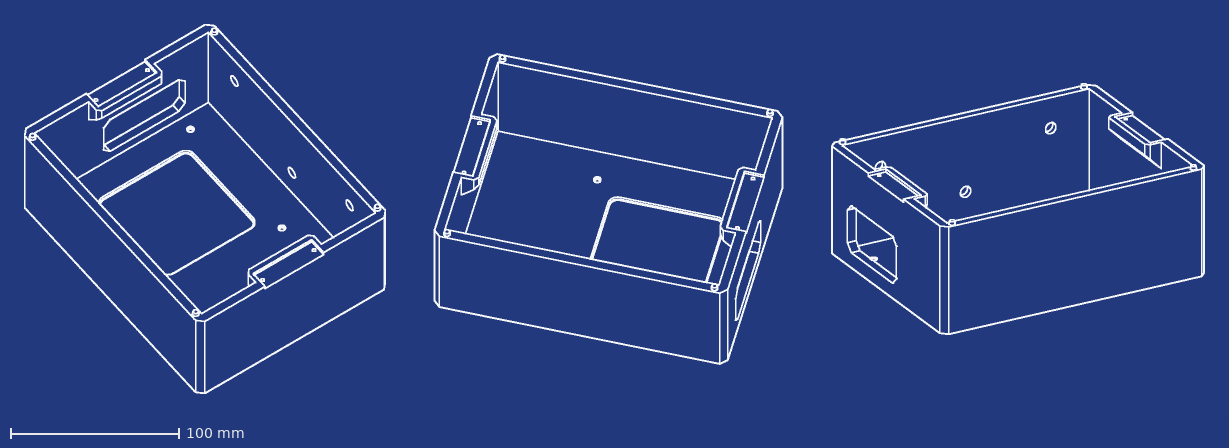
import cadquery as cq

LENGTH = 180.0
WIDTH = 140.0
TOTAL_HEIGHT = 72.0
PIN_HEIGHT = 2.0
BOX_HEIGHT = TOTAL_HEIGHT - PIN_HEIGHT
WALL = 6.0
FLOOR = 2.0
CORNER_CHAMFER = 4.0

PIN_BASE_DIAMETER = 4.0
PIN_TIP_DIAMETER = 3.0
PIN_INSET_X = 8.0
PIN_INSET_Y = 3.0

SEAT_DEPTH = 16.0
SEAT_WIDTH = 48.6
SEAT_HEIGHT = 7.2
SEAT_CHAMFER = 2.5
RECESS_DEPTH = 12.0
RECESS_WIDTH = 43.2
RECESS_DROP = 2.0
SCREW_HOLE_DIAMETER = 2.0
SCREW_HOLE_INSET = 6.1
SCREW_HOLE_SPACING = 38.0
SCREW_HOLE_DEPTH = 4.0

OPENING_LENGTH = 69.7
OPENING_WIDTH = 66.8
OPENING_CENTER_X = -28.3
OPENING_RADIUS = 5.0
OPENING_CHAMFER = 0.9
MOUNT_HOLE_DIAMETER = 3.5
MOUNT_COUNTERSINK_DIAMETER = 4.3
MOUNT_SPACING_X = 92.0
MOUNT_SPACING_Y = 87.1
MOUNT_CENTER_X = -28.0

WINDOW_WIDTH = 60.0
WINDOW_HEIGHT = 30.6
WINDOW_SILL = 9.9
WINDOW_CENTER_Y = 17.0
WINDOW_CHAMFER = 4.7

POCKET_DIAMETER = 7.0
POCKET_DEPTH = 4.0
POCKET_OFFSET_X = 58.0
POCKET_HIGH_Z = 50.0
POCKET_LOW_Z = 21.2
POCKETS = [
    (-POCKET_OFFSET_X, POCKET_HIGH_Z),
    (0, POCKET_LOW_Z),
    (POCKET_OFFSET_X, POCKET_HIGH_Z),
]


def make_shell():
    """Open-topped box with chamfered upright outer corners."""
    outer = (
        cq.Workplane("XY")
        .box(LENGTH, WIDTH, BOX_HEIGHT, centered=(True, True, False))
        .edges("|Z")
        .chamfer(CORNER_CHAMFER)
    )
    cavity = (
        cq.Workplane("XY", origin=(0, 0, FLOOR))
        .rect(LENGTH - 2 * WALL, WIDTH - 2 * WALL)
        .extrude(BOX_HEIGHT)
    )
    return outer.cut(cavity)


def make_pins():
    """Tapered pin near each corner of the rim."""
    pin_x_spacing = LENGTH - 2 * PIN_INSET_X
    pin_y_spacing = WIDTH - 2 * PIN_INSET_Y
    pin = (
        cq.Workplane("XY", origin=(0, 0, BOX_HEIGHT))
        .circle(PIN_BASE_DIAMETER / 2)
        .workplane(offset=PIN_HEIGHT)
        .circle(PIN_TIP_DIAMETER / 2)
        .loft(ruled=True)
        .val()
    )
    return (
        cq.Workplane("XY")
        .rect(pin_x_spacing, pin_y_spacing, forConstruction=True)
        .vertices()
        .eachpoint(lambda place: pin.moved(place))
    )


def make_left_seat():
    """Ledge on the -X wall with its underside sloping down to the wall at 45 degrees."""
    outer_x = -LENGTH / 2
    inner_x = outer_x + SEAT_DEPTH
    wall_x = outer_x + WALL
    front_z = BOX_HEIGHT - SEAT_HEIGHT
    wall_z = front_z - (inner_x - wall_x)
    return (
        cq.Workplane("XZ")
        .moveTo(outer_x, BOX_HEIGHT)
        .lineTo(inner_x, BOX_HEIGHT)
        .lineTo(inner_x, front_z)
        .lineTo(wall_x, wall_z)
        .lineTo(outer_x, wall_z)
        .close()
        .extrude(SEAT_WIDTH / 2, both=True)
        .edges("|Z and >X")
        .chamfer(SEAT_CHAMFER)
    )


def make_left_seat_cut():
    """Shallow recess in the seat, open to the outside, with two screw holes."""
    recess_z = BOX_HEIGHT - RECESS_DROP
    recess = (
        cq.Workplane("XY", origin=(-LENGTH / 2, 0, recess_z))
        .box(RECESS_DEPTH, RECESS_WIDTH, RECESS_DROP, centered=(False, True, False))
    )
    screw_holes = (
        cq.Workplane("XY", origin=(-LENGTH / 2 + SCREW_HOLE_INSET, 0, recess_z))
        .rarray(1.8, SCREW_HOLE_SPACING, 1, 2)
        .circle(SCREW_HOLE_DIAMETER / 2)
        .extrude(-SCREW_HOLE_DEPTH)
    )
    return recess.union(screw_holes)


def make_floor_opening():
    """Rounded opening through the floor, flared by a chamfer along its upper edge."""
    rim_length = OPENING_LENGTH + 2 * OPENING_CHAMFER
    rim_width = OPENING_WIDTH + 2 * OPENING_CHAMFER
    rim_radius = OPENING_RADIUS + OPENING_CHAMFER
    opening = (
        cq.Workplane("XY", origin=(OPENING_CENTER_X, 0, 0))
        .rect(OPENING_LENGTH, OPENING_WIDTH)
        .extrude(FLOOR)
        .edges("|Z")
        .fillet(OPENING_RADIUS)
    )
    rim_outline = cq.Sketch().rect(rim_length, rim_width).vertices().fillet(rim_radius)
    flare = (
        cq.Workplane("XY", origin=(OPENING_CENTER_X, 0, FLOOR))
        .placeSketch(rim_outline)
        .extrude(-OPENING_CHAMFER, taper=45)
    )
    return opening.union(flare)


def make_mount_holes():
    """Countersunk screw holes through the floor."""
    countersink_depth = (MOUNT_COUNTERSINK_DIAMETER - MOUNT_HOLE_DIAMETER) / 2
    hole_radius = MOUNT_HOLE_DIAMETER / 2
    hole = (
        cq.Workplane("XZ")
        .lineTo(hole_radius, 0)
        .lineTo(hole_radius, FLOOR - countersink_depth)
        .lineTo(MOUNT_COUNTERSINK_DIAMETER / 2, FLOOR)
        .lineTo(0, FLOOR)
        .close()
        .revolve(360, (0, 0, 0), (0, 1, 0))
        .val()
    )
    return (
        cq.Workplane("XY", origin=(MOUNT_CENTER_X, 0, 0))
        .rect(MOUNT_SPACING_X, MOUNT_SPACING_Y, forConstruction=True)
        .vertices()
        .eachpoint(lambda place: hole.moved(place))
    )


def make_window():
    """Window through the -X wall with chamfered corners."""
    return (
        cq.Workplane("XY", origin=(-LENGTH / 2, WINDOW_CENTER_Y, WINDOW_SILL))
        .box(WALL, WINDOW_WIDTH, WINDOW_HEIGHT, centered=(False, True, False))
        .edges("|X")
        .chamfer(WINDOW_CHAMFER)
    )


def make_wall_pockets():
    """Round blind pockets in the inner face of the +Y wall."""
    return (
        cq.Workplane("XZ", origin=(0, WIDTH / 2 - WALL, 0))
        .pushPoints(POCKETS)
        .circle(POCKET_DIAMETER / 2)
        .extrude(-POCKET_DEPTH)
    )


left_seat = make_left_seat()
left_seat_cut = make_left_seat_cut()

result = make_shell().union(left_seat).union(left_seat.mirror("YZ")).union(make_pins())
for cut in (
    left_seat_cut,
    left_seat_cut.mirror("YZ"),
    make_floor_opening(),
    make_mount_holes(),
    make_window(),
    make_wall_pockets(),
):
    result = result.cut(cut)